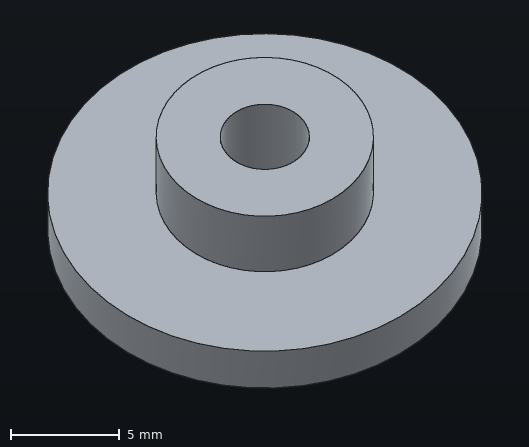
import cadquery as cq

flange_diameter = 20.0
flange_thickness = 2.5
hub_diameter = flange_diameter / 2
total_height = 6.25
bore_diameter = 4.1

hub_height = total_height - flange_thickness

flange = cq.Workplane("XY").circle(flange_diameter / 2).extrude(flange_thickness)

flanged_hub = flange.faces(">Z").workplane().circle(hub_diameter / 2).extrude(hub_height)

result = flanged_hub.faces(">Z").workplane().hole(bore_diameter)